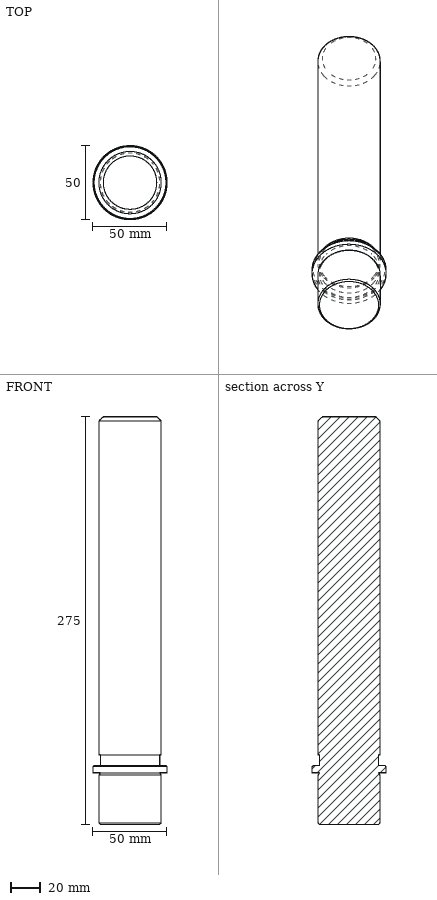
import cadquery as cq

total_height = 275.0
shaft_radius = 42.0 / 2
flange_radius = 50.0 / 2
neck_radius = 40.2 / 2

flange_bottom = 35.0
flange_top = 40.0
neck_top = 47.0

top_chamfer_width = 3.0
top_chamfer_height = 2.8
spigot_chamfer = 1.0
flange_chamfer = 0.8
shoulder_height = 1.6
shoulder_width = shaft_radius - neck_radius

profile = [
    (0, 0),
    (shaft_radius - spigot_chamfer, 0),
    (shaft_radius, spigot_chamfer),
    (shaft_radius, flange_bottom - shoulder_height),
    (shaft_radius - shoulder_width, flange_bottom),
    (flange_radius, flange_bottom),
    (flange_radius, flange_top - flange_chamfer),
    (flange_radius - flange_chamfer, flange_top),
    (neck_radius, flange_top),
    (neck_radius, neck_top),
    (shaft_radius, neck_top),
    (shaft_radius, total_height - top_chamfer_height),
    (shaft_radius - top_chamfer_width, total_height),
    (0, total_height),
]

result = cq.Workplane("XZ").polyline(profile).close().revolve(360, (0, 0, 0), (0, 1, 0))